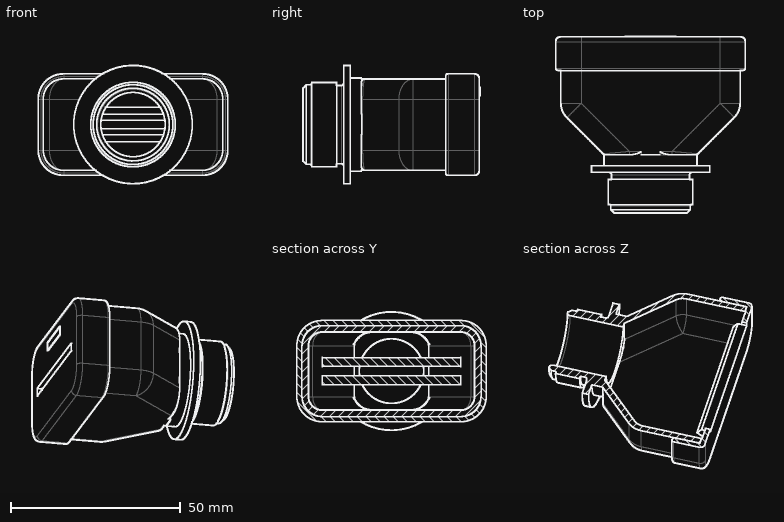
import cadquery as cq
import math


CAP_WIDTH = 56.0
CAP_HEIGHT = 30.0
CAP_WALL = 1.5
CAP_CORNER = 7.5
CAP_FRONT = 42.05
CAP_BACK = 52.0
BACK_ROUND = 1.45
RIM_ROUND = 0.7

SLOT_HEIGHT = 2.4
LIP_PEAK_SPACING = 6.05
LIP_BASE_SPACING = 10.1
LIP_RISE = 2.6
LIP_FALL = 1.4
SLOT_LENGTH = CAP_WIDTH - 2 * CAP_CORNER

LABEL_WIDTH = 15.0
LABEL_HEIGHT = 2.6
LABEL_RISE = 0.19
LABEL_CENTRE_Z = 9.75

HOUSING_WIDTH = CAP_WIDTH - 2 * CAP_WALL
HOUSING_HEIGHT = CAP_HEIGHT - 2 * CAP_WALL
HOUSING_ROUND = CAP_CORNER - CAP_WALL
HOUSING_FRONT = 17.25
HOUSING_BACK = CAP_BACK - CAP_WALL
HOUSING_WALL = 2.0
FRONT_EDGE_ROUND = 1.0

COLLAR_DIAMETER = 27.55
FLANGE_DIAMETER = 35.0
FLANGE_FRONT = 12.0
FLANGE_BACK = 14.0
NECK_DIAMETER = 23.1
NECK_FILLET = 0.7
THREAD_DIAMETER = 25.0
THREAD_FRONT = 2.5
THREAD_BACK = 9.9
TIP_DIAMETER = 23.5
TIP_FILLET = 0.35
TIP_CHAMFER = 1.0
BORE_DIAMETER = 19.0
MOUTH_ROUND = 1.0


def rounded_block(width, height, corner, y_start, y_end):
    """Block along Y whose four long edges are rounded."""
    return (
        cq.Workplane("XZ", origin=(0, y_start, 0))
        .rect(width, height)
        .extrude(-(y_end - y_start))
        .edges("|Y")
        .fillet(corner)
    )


def funnel(inset):
    """Sharp-ended 45 degree funnel with rounded sides, moved inwards on every side by the inset."""
    half_width = HOUSING_WIDTH / 2 - inset
    half_height = HOUSING_HEIGHT / 2 - inset
    half_front = COLLAR_DIAMETER / 2 - inset * math.sqrt(2)
    elbow_y = HOUSING_FRONT + half_width - half_front
    block = (
        cq.Workplane("XY", origin=(0, 0, -half_height))
        .moveTo(-half_front, HOUSING_FRONT)
        .lineTo(half_front, HOUSING_FRONT)
        .lineTo(half_width, elbow_y)
        .lineTo(half_width, HOUSING_BACK)
        .lineTo(-half_width, HOUSING_BACK)
        .lineTo(-half_width, elbow_y)
        .close()
        .extrude(2 * half_height)
    )
    end_edges = block.faces("<Y or >Y").edges().vals()
    side_edges = [edge for edge in block.edges().vals() if edge not in end_edges]
    return block.newObject(side_edges).fillet(HOUSING_ROUND - inset)


def turned(profile):
    """Turn a closed radius-and-Y profile round the Y axis."""
    return profile.close().revolve(360, (0, 0), (0, 1))


def make_spigot():
    """Solid round stub: chamfered tip, thread band, undercut neck, flange and collar."""
    tip_radius = TIP_DIAMETER / 2
    thread_radius = THREAD_DIAMETER / 2
    neck_radius = NECK_DIAMETER / 2
    flange_radius = FLANGE_DIAMETER / 2
    collar_radius = COLLAR_DIAMETER / 2
    return turned(
        cq.Workplane("XY")
        .lineTo(tip_radius - TIP_CHAMFER, 0)
        .lineTo(tip_radius, TIP_CHAMFER)
        .lineTo(tip_radius, THREAD_FRONT - TIP_FILLET)
        .tangentArcPoint((TIP_FILLET, TIP_FILLET))
        .lineTo(thread_radius, THREAD_FRONT)
        .lineTo(thread_radius, THREAD_BACK)
        .lineTo(neck_radius, THREAD_BACK)
        .lineTo(neck_radius, FLANGE_FRONT - NECK_FILLET)
        .tangentArcPoint((NECK_FILLET, NECK_FILLET))
        .lineTo(flange_radius, FLANGE_FRONT)
        .lineTo(flange_radius, FLANGE_BACK)
        .lineTo(collar_radius, FLANGE_BACK)
        .lineTo(collar_radius, HOUSING_FRONT)
        .lineTo(0, HOUSING_FRONT)
    )


def make_collar_end(funnel_body):
    """Stretch of collar that runs on through the rounded front edge of the funnel, inside its sharp outline."""
    extension = (
        cq.Workplane("XZ", origin=(0, HOUSING_FRONT, 0))
        .circle(COLLAR_DIAMETER / 2)
        .extrude(-FRONT_EDGE_ROUND)
    )
    return extension.intersect(funnel_body)


def make_bore():
    """Space inside the spigot: a plain bore with a rounded mouth, reaching into the funnel."""
    bore_radius = BORE_DIAMETER / 2
    bore_end = HOUSING_FRONT + HOUSING_WALL
    return turned(
        cq.Workplane("XY")
        .moveTo(0, bore_end)
        .lineTo(bore_radius, bore_end)
        .lineTo(bore_radius, MOUTH_ROUND)
        .tangentArcPoint((MOUTH_ROUND, -MOUTH_ROUND))
        .lineTo(0, 0)
    )


def make_housing():
    """Funnel and spigot in one piece, hollow from the mouth to the open back."""
    outer = funnel(0)
    body = outer.faces("<Y").edges().fillet(FRONT_EDGE_ROUND)
    body = body.union(make_collar_end(outer)).union(make_spigot())
    return body.cut(funnel(HOUSING_WALL)).cut(make_bore())


def make_lip():
    """Ridge inside the cap along the upper side of the slot."""
    peak_y = HOUSING_BACK - LIP_RISE
    return (
        cq.Workplane("YZ")
        .moveTo(HOUSING_BACK, LIP_BASE_SPACING / 2)
        .lineTo(peak_y, LIP_PEAK_SPACING / 2)
        .lineTo(peak_y + LIP_FALL, SLOT_HEIGHT / 2)
        .lineTo(HOUSING_BACK, SLOT_HEIGHT / 2)
        .close()
        .extrude(SLOT_LENGTH / 2, both=True)
    )


def make_slot():
    """Straight cable slot through the back of the cap."""
    return (
        cq.Workplane("XZ", origin=(0, HOUSING_BACK, 0))
        .rect(SLOT_LENGTH, SLOT_HEIGHT)
        .extrude(-CAP_WALL)
    )


def make_label():
    """Raised strip on the back face of the cap."""
    return (
        cq.Workplane("XZ", origin=(0, CAP_BACK, LABEL_CENTRE_Z))
        .rect(LABEL_WIDTH, LABEL_HEIGHT)
        .extrude(-LABEL_RISE)
    )


def make_cap():
    """Rounded cap with a lipped cable slot, pushed over the back of the housing."""
    shell = rounded_block(CAP_WIDTH, CAP_HEIGHT, CAP_CORNER, CAP_FRONT, CAP_BACK)
    shell = shell.faces(">Y").edges().fillet(BACK_ROUND)
    shell = shell.cut(rounded_block(HOUSING_WIDTH, HOUSING_HEIGHT, HOUSING_ROUND, CAP_FRONT, HOUSING_BACK))
    shell = shell.faces("<Y").edges().fillet(RIM_ROUND)
    upper_lip = make_lip()
    lower_lip = upper_lip.mirror("XY")
    return shell.union(upper_lip).union(lower_lip).cut(make_slot()).union(make_label())


housing = make_housing()
cap = make_cap()
result = cq.Compound.makeCompound([housing.val(), cap.val()])